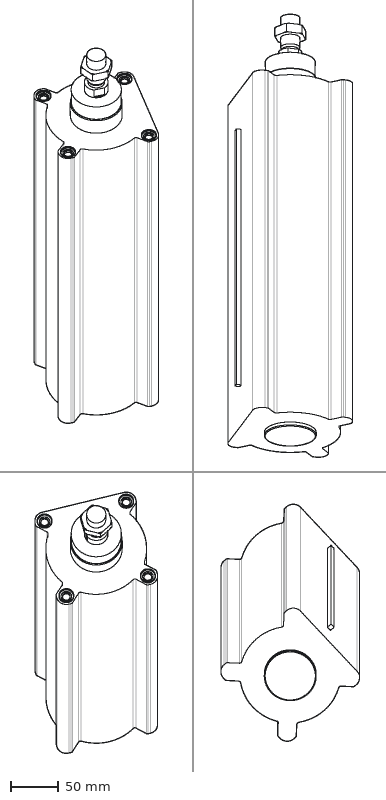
import cadquery as cq
import math

TOTAL_HEIGHT = 481.5
BARREL_BOTTOM = 4.5
BARREL_TOP = 393.0
COLLAR_TOP = 412.0
NECK_TOP = 430.5
FLATS_BOTTOM = 432.0
SHOULDER = 441.5
THREAD_BOTTOM = 447.5

BARREL_DIAMETER = 106.5
BOLT_SPACING = 89.0
LUG_DIAMETER = 20.5
FLANK_START = 41.0
FLANK_FILLET = 2.5

COLLAR_DIAMETER = 55.0
COLLAR_CHAMFER = 1.0
NECK_BASE_DIAMETER = 52.5
NECK_TOP_DIAMETER = 53.0

SEAT_STEPS = [(16.0, 1.0), (15.0, 2.0), (11.0, 3.0), (8.0, 5.0)]

RAIL_WIDTH = 5.0
RAIL_HEIGHT = 5.5
RAIL_BOTTOM = 51.0
RAIL_TOP = 345.0

ROD_DIAMETER = 25.0
ACROSS_ROD_FLATS = 22.0
THREAD_DIAMETER = 20.0
UNDERCUT_DIAMETER = 18.0
THREAD_TAPER_LENGTH = 2.5

NUT_ACROSS_FLATS = 30.0
NUT_HEIGHT = 10.0
NUT_TOP = 468.5
NUT_CORNER_CUT = 1.5
NUT_CORNER_CUT_HEIGHT = 0.5

LUG_RADIUS = LUG_DIAMETER / 2
HALF_WIDTH = BOLT_SPACING / 2 + LUG_RADIUS
BARREL_RADIUS = BARREL_DIAMETER / 2
TOLERANCE = 0.05


def cylinder(diameter, bottom, top):
    """Cylinder on the Z axis between two heights."""
    return cq.Workplane("XY").workplane(offset=bottom).circle(diameter / 2).extrude(top - bottom)


def make_barrel():
    """Barrel with four corner lugs, closed to one full flat on the +Y side."""
    w = HALF_WIDTH
    s = FLANK_START
    r = BARREL_RADIUS

    flank_shift = w - s
    near = (math.sqrt(2 * r**2 - flank_shift**2) - flank_shift) / 2
    far = near + flank_shift

    barrel = (
        cq.Workplane("XY")
        .workplane(offset=BARREL_BOTTOM)
        .moveTo(-w, w)
        .lineTo(w, w)
        .lineTo(w, s)
        .lineTo(far, near)
        .threePointArc((r, 0), (far, -near))
        .lineTo(w, -s)
        .lineTo(w, -w)
        .lineTo(s, -w)
        .lineTo(near, -far)
        .threePointArc((0, -r), (-near, -far))
        .lineTo(-s, -w)
        .lineTo(-w, -w)
        .lineTo(-w, -s)
        .lineTo(-far, -near)
        .threePointArc((-r, 0), (-far, near))
        .lineTo(-w, s)
        .close()
        .extrude(BARREL_TOP - BARREL_BOTTOM)
    )

    def is_lug_corner(edge):
        center = edge.Center()
        return min(abs(center.x), abs(center.y)) > w - TOLERANCE

    def is_flank_end(edge):
        center = edge.Center()
        return abs(abs(abs(center.x) - abs(center.y)) - flank_shift) < TOLERANCE

    barrel = barrel.edges("|Z").filter(is_flank_end).fillet(FLANK_FILLET)
    return barrel.edges("|Z").filter(is_lug_corner).fillet(LUG_RADIUS)


def make_collars():
    """Chamfered collar through both ends of the barrel, topped by the slightly tapered neck."""
    collar = cylinder(COLLAR_DIAMETER, 0, COLLAR_TOP).faces("<Z or >Z").chamfer(COLLAR_CHAMFER)
    neck = (
        cq.Workplane("XY")
        .workplane(offset=COLLAR_TOP)
        .circle(NECK_BASE_DIAMETER / 2)
        .workplane(offset=NECK_TOP - COLLAR_TOP)
        .circle(NECK_TOP_DIAMETER / 2)
        .loft()
    )
    return collar.union(neck)


def make_rail():
    """Narrow rail standing on the +Y face, reaching in to the barrel's axis to join it fully."""
    return (
        cq.Workplane("XY")
        .workplane(offset=RAIL_BOTTOM)
        .center(0, (HALF_WIDTH + RAIL_HEIGHT) / 2)
        .rect(RAIL_WIDTH, HALF_WIDTH + RAIL_HEIGHT)
        .extrude(RAIL_TOP - RAIL_BOTTOM)
    )


def cut_screw_seats(body):
    """Cut the stepped screw seat into the top of each corner lug."""
    for diameter, depth in SEAT_STEPS:
        step = (
            cq.Workplane("XY")
            .workplane(offset=BARREL_TOP - depth)
            .rect(BOLT_SPACING, BOLT_SPACING, forConstruction=True)
            .vertices()
            .circle(diameter / 2)
            .extrude(depth)
        )
        body = body.cut(step)
    return body


def make_housing():
    """Barrel, collars and rail in one piece, with the screw seats and the bore for the rod."""
    body = make_barrel().union(make_collars()).union(make_rail())
    body = cut_screw_seats(body)
    return body.cut(cylinder(ROD_DIAMETER, BARREL_TOP, NECK_TOP))


def make_rod():
    """Rod seated in the collar bore, with two wrench flats, an undercut and a threaded end."""
    rod_radius = ROD_DIAMETER / 2
    undercut_radius = UNDERCUT_DIAMETER / 2
    thread_radius = THREAD_DIAMETER / 2
    rod = (
        cq.Workplane("XZ")
        .moveTo(0, BARREL_TOP)
        .lineTo(rod_radius, BARREL_TOP)
        .lineTo(rod_radius, SHOULDER)
        .lineTo(undercut_radius, SHOULDER)
        .lineTo(undercut_radius, THREAD_BOTTOM - THREAD_TAPER_LENGTH)
        .lineTo(thread_radius, THREAD_BOTTOM)
        .lineTo(thread_radius, TOTAL_HEIGHT)
        .lineTo(0, TOTAL_HEIGHT)
        .close()
        .revolve(360, (0, 0, 0), (0, 1, 0))
    )
    for side in (-1, 1):
        flat_cutter = (
            cq.Workplane("XY")
            .workplane(offset=FLATS_BOTTOM)
            .center(side * (ACROSS_ROD_FLATS + ROD_DIAMETER) / 2, 0)
            .rect(ROD_DIAMETER, ROD_DIAMETER)
            .extrude(SHOULDER - FLATS_BOTTOM)
        )
        rod = rod.cut(flat_cutter)
    return rod


def make_nut():
    """Hexagonal nut around the thread, with its flats facing -X and +X and its corners chamfered."""
    across_corners = NUT_ACROSS_FLATS / math.cos(math.radians(30))
    nut_bottom = NUT_TOP - NUT_HEIGHT
    hexagon = (
        cq.Workplane("XY")
        .workplane(offset=nut_bottom)
        .transformed(rotate=(0, 0, 30))
        .polygon(6, across_corners)
        .circle(THREAD_DIAMETER / 2)
        .extrude(NUT_HEIGHT)
    )
    envelope = (
        cylinder(across_corners, nut_bottom, NUT_TOP)
        .faces("<Z or >Z")
        .chamfer(NUT_CORNER_CUT_HEIGHT, NUT_CORNER_CUT)
    )
    return hexagon.intersect(envelope)


housing = make_housing()
rod = make_rod()
nut = make_nut()

result = cq.Compound.makeCompound([body.solids().val() for body in (housing, rod, nut)])